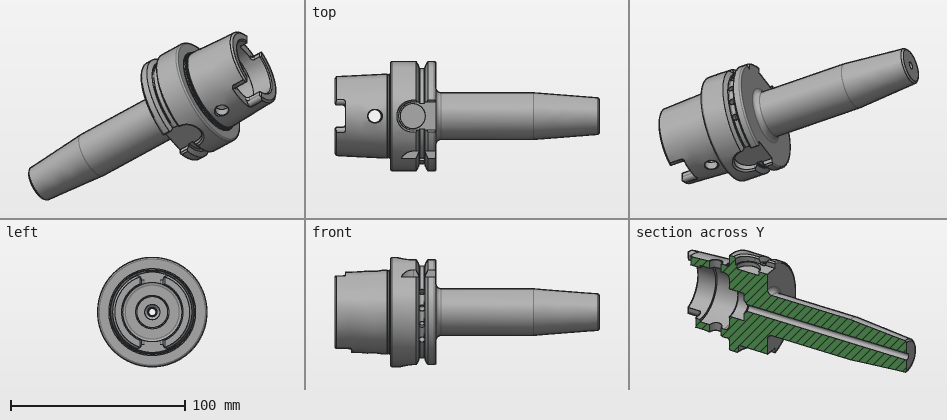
import cadquery as cq
import math


ARC_MID = 1 - math.sqrt(0.5)

SHANK_LENGTH = 32.0
TAPER_GAUGE_RADIUS = 24.0
TAPER_GAUGE_X = -6.3
TAPER_SLOPE = 0.5 / 9.98
TIP_CHAMFER_LENGTH = 1.0
TIP_FACE_RADIUS = 21.5
RELIEF_WIDTH = 2.2
RELIEF_RADIUS = 23.9
RELIEF_RAMP = 0.5
RELIEF_RIM_RADIUS = 24.3
FACE_RECESS_RADIUS = 25.0
FACE_RECESS_DEPTH = 0.3

FLANGE_RADIUS = 31.5
FLANGE_LENGTH = 26.0
FLANGE_EDGE_RADIUS = 1.0
GROOVE_CENTRE_X = 18.0
GROOVE_FLOOR_RADIUS = 27.5
GROOVE_FLOOR_HALF_WIDTH = 1.75
GROOVE_FLOOR_FILLET = 0.5
GROOVE_MOUTH_HALF_WIDTH = 3.4
GROOVE_FLANK_ANGLE = 30.0

NECK_RADIUS = 13.5
NECK_FILLET = 3.0
NOSE_START_X = 82.0
NOSE_END_X = 120.0
NOSE_ANGLE = 4.5
NOSE_EDGE_CHAMFER = 1.0

BORE_RADIUS = 17.0
BORE_ENTRY_CHAMFER = 0.7
CLAMP_STEP_X = -19.5
CLAMP_RADIUS = 18.5
BORE_FLOOR_X = 0.0
BORE_FLOOR_FILLET = 3.0
TUBE_SEAT_RADIUS = 8.9
TUBE_SEAT_CHAMFER = 0.7
TUBE_SEAT_DEPTH = 10.0
FUNNEL_RADIUS = 4.4
FUNNEL_END_RADIUS = 2.7
COOLANT_RADIUS = 2.05

KEYWAY_HALF_WIDTH = 6.27
KEYWAY_DEPTH_TOP = 6.0
KEYWAY_DEPTH_BOTTOM = 9.5
KEYWAY_CORNER_RADIUS = 1.5
KEYWAY_MOUTH_CHAMFER = 0.9
KEYWAY_EDGE_RADIUS = 2.3

CROSS_HOLE_X = -9.2
CROSS_HOLE_RADIUS = 3.75
CROSS_HOLE_CHAMFER = 0.5

SLOT_FLOOR_Z = 26.5
SLOT_HALF_WIDTH = 8.1
SLOT_RIM_CHAMFER = 1.1
TOP_SLOT_CENTRE_X = 12.7
BOTTOM_SLOT_CENTRE_X = 14.7
POCKET_RADIUS = 7.2
POCKET_DEPTH = 2.5

NOTCH_OFFSET = 20.1
NOTCH_CUTTER_RADIUS = 8.0
NOTCH_CUTTER_X = 13.1

BALANCE_HOLE_ANGLES = (25, 5, -15, -35)
BALANCE_HOLE_RADIUS = 1.7
BALANCE_HOLE_DEPTH = 5.0
BALANCE_HOLE_POINT = 0.9


def taper_radius(x):
    return TAPER_GAUGE_RADIUS + (x - TAPER_GAUGE_X) * TAPER_SLOPE


def revolve_about_x(profile):
    return profile.close().revolve(360, (0, 0, 0), (1, 0, 0))


def turned_body():
    tip_x = -SHANK_LENGTH
    chamfer_x = tip_x + TIP_CHAMFER_LENGTH
    groove_wall_1 = GROOVE_CENTRE_X - GROOVE_FLOOR_HALF_WIDTH
    groove_wall_2 = GROOVE_CENTRE_X + GROOVE_FLOOR_HALF_WIDTH
    corner = GROOVE_FLOOR_FILLET
    corner_mid = corner * ARC_MID
    groove_rim = GROOVE_MOUTH_HALF_WIDTH - GROOVE_FLOOR_HALF_WIDTH
    flank_foot = FLANGE_RADIUS - groove_rim / math.tan(math.radians(GROOVE_FLANK_ANGLE))
    nose_length = NOSE_END_X - NOSE_START_X
    slope = math.tan(math.radians(NOSE_ANGLE))
    nose_radius = NECK_RADIUS - (nose_length - NOSE_EDGE_CHAMFER) * slope
    edge = FLANGE_EDGE_RADIUS
    edge_mid = edge * ARC_MID
    fillet_mid = NECK_FILLET * ARC_MID
    profile = (
        cq.Workplane("XY")
        .moveTo(tip_x, 0)
        .lineTo(tip_x, TIP_FACE_RADIUS)
        .lineTo(chamfer_x, taper_radius(chamfer_x))
        .lineTo(-RELIEF_WIDTH, taper_radius(-RELIEF_WIDTH))
        .lineTo(-RELIEF_WIDTH + RELIEF_RAMP, RELIEF_RADIUS)
        .lineTo(-2 * RELIEF_RAMP, RELIEF_RADIUS)
        .lineTo(-RELIEF_RAMP, RELIEF_RIM_RADIUS)
        .lineTo(FACE_RECESS_DEPTH, RELIEF_RIM_RADIUS)
        .lineTo(FACE_RECESS_DEPTH, FACE_RECESS_RADIUS)
        .lineTo(0, FACE_RECESS_RADIUS)
        .lineTo(0, FLANGE_RADIUS - edge)
        .threePointArc((edge_mid, FLANGE_RADIUS - edge_mid), (edge, FLANGE_RADIUS))
        .lineTo(GROOVE_CENTRE_X - GROOVE_MOUTH_HALF_WIDTH, FLANGE_RADIUS)
        .lineTo(groove_wall_1, flank_foot)
        .lineTo(groove_wall_1, GROOVE_FLOOR_RADIUS + corner)
        .threePointArc(
            (groove_wall_1 + corner_mid, GROOVE_FLOOR_RADIUS + corner_mid),
            (groove_wall_1 + corner, GROOVE_FLOOR_RADIUS),
        )
        .lineTo(groove_wall_2 - corner, GROOVE_FLOOR_RADIUS)
        .threePointArc(
            (groove_wall_2 - corner_mid, GROOVE_FLOOR_RADIUS + corner_mid),
            (groove_wall_2, GROOVE_FLOOR_RADIUS + corner),
        )
        .lineTo(groove_wall_2, flank_foot)
        .lineTo(GROOVE_CENTRE_X + GROOVE_MOUTH_HALF_WIDTH, FLANGE_RADIUS)
        .lineTo(FLANGE_LENGTH - edge, FLANGE_RADIUS)
        .threePointArc(
            (FLANGE_LENGTH - edge_mid, FLANGE_RADIUS - edge_mid),
            (FLANGE_LENGTH, FLANGE_RADIUS - edge),
        )
        .lineTo(FLANGE_LENGTH, NECK_RADIUS + NECK_FILLET)
        .threePointArc(
            (FLANGE_LENGTH + fillet_mid, NECK_RADIUS + fillet_mid),
            (FLANGE_LENGTH + NECK_FILLET, NECK_RADIUS),
        )
        .lineTo(NOSE_START_X, NECK_RADIUS)
        .lineTo(NOSE_END_X - NOSE_EDGE_CHAMFER, nose_radius)
        .lineTo(NOSE_END_X, nose_radius - NOSE_EDGE_CHAMFER)
        .lineTo(NOSE_END_X, 0)
    )
    return revolve_about_x(profile)


def stepped_bore():
    tip_x = -SHANK_LENGTH
    seat_end_x = BORE_FLOOR_X + TUBE_SEAT_DEPTH
    fillet_mid = BORE_FLOOR_FILLET * ARC_MID
    funnel_end_x = seat_end_x + FUNNEL_RADIUS - FUNNEL_END_RADIUS
    profile = (
        cq.Workplane("XY")
        .moveTo(tip_x, 0)
        .lineTo(tip_x, BORE_RADIUS + BORE_ENTRY_CHAMFER)
        .lineTo(tip_x + BORE_ENTRY_CHAMFER, BORE_RADIUS)
        .lineTo(CLAMP_STEP_X, BORE_RADIUS)
        .lineTo(CLAMP_STEP_X, CLAMP_RADIUS)
        .lineTo(BORE_FLOOR_X - BORE_FLOOR_FILLET, CLAMP_RADIUS)
        .threePointArc(
            (BORE_FLOOR_X - fillet_mid, CLAMP_RADIUS - fillet_mid),
            (BORE_FLOOR_X, CLAMP_RADIUS - BORE_FLOOR_FILLET),
        )
        .lineTo(BORE_FLOOR_X, TUBE_SEAT_RADIUS + TUBE_SEAT_CHAMFER)
        .lineTo(BORE_FLOOR_X + TUBE_SEAT_CHAMFER, TUBE_SEAT_RADIUS)
        .lineTo(seat_end_x, TUBE_SEAT_RADIUS)
        .lineTo(seat_end_x, FUNNEL_RADIUS)
        .lineTo(funnel_end_x, FUNNEL_END_RADIUS)
        .lineTo(funnel_end_x, COOLANT_RADIUS)
        .lineTo(NOSE_END_X, COOLANT_RADIUS)
        .lineTo(NOSE_END_X, 0)
    )
    return revolve_about_x(profile)


def keyway(depth):
    """Keyway through the upper shank wall, open towards -X."""
    tip_x = -SHANK_LENGTH
    end_x = tip_x + depth
    height = TAPER_GAUGE_RADIUS
    slot = (
        cq.Workplane("XY")
        .moveTo(tip_x, -KEYWAY_HALF_WIDTH)
        .lineTo(end_x, -KEYWAY_HALF_WIDTH)
        .lineTo(end_x, KEYWAY_HALF_WIDTH)
        .lineTo(tip_x, KEYWAY_HALF_WIDTH)
        .close()
        .extrude(height)
        .edges("|Z and >X")
        .fillet(KEYWAY_CORNER_RADIUS)
    )
    mouth = (
        cq.Workplane("XY")
        .moveTo(tip_x, -KEYWAY_HALF_WIDTH - KEYWAY_MOUTH_CHAMFER)
        .lineTo(tip_x + KEYWAY_MOUTH_CHAMFER, -KEYWAY_HALF_WIDTH)
        .lineTo(tip_x + KEYWAY_MOUTH_CHAMFER, KEYWAY_HALF_WIDTH)
        .lineTo(tip_x, KEYWAY_HALF_WIDTH + KEYWAY_MOUTH_CHAMFER)
        .close()
        .extrude(height)
    )
    edge = KEYWAY_EDGE_RADIUS
    rim_radius = taper_radius(tip_x)
    arc_y = KEYWAY_HALF_WIDTH + edge
    arc_z = math.sqrt((rim_radius - edge) ** 2 - arc_y**2)
    end_angle = math.atan2(arc_z, arc_y)
    mid_angle = (math.pi + end_angle) / 2
    mid_y = arc_y + edge * math.cos(mid_angle)
    mid_z = arc_z + edge * math.sin(mid_angle)
    end_y = arc_y + edge * math.cos(end_angle)
    end_z = arc_z + edge * math.sin(end_angle)
    rounded_edges = (
        cq.Workplane("YZ", origin=(tip_x, 0, 0))
        .moveTo(-KEYWAY_HALF_WIDTH, arc_z)
        .lineTo(KEYWAY_HALF_WIDTH, arc_z)
        .threePointArc((mid_y, mid_z), (end_y, end_z))
        .lineTo(end_y, height)
        .lineTo(-end_y, height)
        .lineTo(-end_y, end_z)
        .threePointArc((-mid_y, mid_z), (-KEYWAY_HALF_WIDTH, arc_z))
        .close()
        .extrude(depth)
        .edges("|Z and >X")
        .fillet(KEYWAY_CORNER_RADIUS)
    )
    return slot.union(mouth).union(rounded_edges)


def cross_hole():
    rim_z = taper_radius(CROSS_HOLE_X)
    hole = (
        cq.Workplane("XY", origin=(CROSS_HOLE_X, 0, -FLANGE_RADIUS))
        .circle(CROSS_HOLE_RADIUS)
        .extrude(2 * FLANGE_RADIUS)
    )
    for side in (1, -1):
        countersink = cq.Solid.makeCone(
            CROSS_HOLE_RADIUS,
            CROSS_HOLE_RADIUS + 2 * CROSS_HOLE_CHAMFER,
            2 * CROSS_HOLE_CHAMFER,
            pnt=cq.Vector(CROSS_HOLE_X, 0, side * (rim_z - CROSS_HOLE_CHAMFER)),
            dir=cq.Vector(0, 0, side),
        )
        hole = hole.union(cq.Workplane(countersink))
    return hole


def drive_slot(centre_x):
    """Round-ended slot in the upper flange rim, open towards +X, with a chamfered rim."""
    half = SLOT_HALF_WIDTH
    slot = (
        cq.Workplane("XY", origin=(0, 0, SLOT_FLOOR_Z))
        .moveTo(FLANGE_LENGTH, half)
        .lineTo(centre_x, half)
        .threePointArc((centre_x - half, 0), (centre_x, -half))
        .lineTo(FLANGE_LENGTH, -half)
        .close()
        .extrude(FLANGE_RADIUS)
    )
    blank = cq.Workplane("YZ").circle(FLANGE_RADIUS).extrude(FLANGE_LENGTH)
    reach = half + SLOT_RIM_CHAMFER
    rim_edges = cq.selectors.BoxSelector(
        (0, -reach, (SLOT_FLOOR_Z + FLANGE_RADIUS) / 2),
        (FLANGE_LENGTH - SLOT_RIM_CHAMFER, reach, FLANGE_RADIUS + SLOT_RIM_CHAMFER),
    )
    slotted = blank.cut(slot).edges(rim_edges).chamfer(SLOT_RIM_CHAMFER)
    return blank.cut(slotted)


def slot_pocket():
    return (
        cq.Workplane("XY", origin=(TOP_SLOT_CENTRE_X, 0, SLOT_FLOOR_Z - POCKET_DEPTH))
        .circle(POCKET_RADIUS)
        .extrude(2 * POCKET_DEPTH)
    )


def orientation_notch():
    wall_y = -NOTCH_OFFSET
    axis_y = wall_y - NOTCH_CUTTER_RADIUS
    outer_y = axis_y - NOTCH_CUTTER_RADIUS
    return (
        cq.Workplane("XY", origin=(0, 0, NOTCH_OFFSET))
        .moveTo(FLANGE_LENGTH, wall_y)
        .lineTo(NOTCH_CUTTER_X, wall_y)
        .threePointArc((NOTCH_CUTTER_X - NOTCH_CUTTER_RADIUS, axis_y), (NOTCH_CUTTER_X, outer_y))
        .lineTo(FLANGE_LENGTH, outer_y)
        .close()
        .extrude(FLANGE_RADIUS)
    )


def balance_hole(angle):
    outwards = cq.Vector(0, -1, 0)
    foot = cq.Vector(GROOVE_CENTRE_X, BALANCE_HOLE_DEPTH - GROOVE_FLOOR_RADIUS, 0)
    length = BALANCE_HOLE_DEPTH + FLANGE_RADIUS - GROOVE_FLOOR_RADIUS
    hole = cq.Solid.makeCylinder(BALANCE_HOLE_RADIUS, length, foot, outwards)
    point = cq.Solid.makeCone(BALANCE_HOLE_RADIUS, 0, BALANCE_HOLE_POINT, foot, -outwards)
    return cq.Workplane(hole).union(cq.Workplane(point)).rotate((0, 0, 0), (1, 0, 0), -angle)


def on_underside(cutter):
    return cutter.rotate((0, 0, 0), (1, 0, 0), 180)


result = (
    turned_body()
    .cut(drive_slot(TOP_SLOT_CENTRE_X))
    .cut(on_underside(drive_slot(BOTTOM_SLOT_CENTRE_X)))
    .cut(stepped_bore())
    .cut(keyway(KEYWAY_DEPTH_TOP))
    .cut(on_underside(keyway(KEYWAY_DEPTH_BOTTOM)))
    .cut(cross_hole())
    .cut(slot_pocket())
    .cut(orientation_notch())
)
for hole_angle in BALANCE_HOLE_ANGLES:
    result = result.cut(balance_hole(hole_angle))